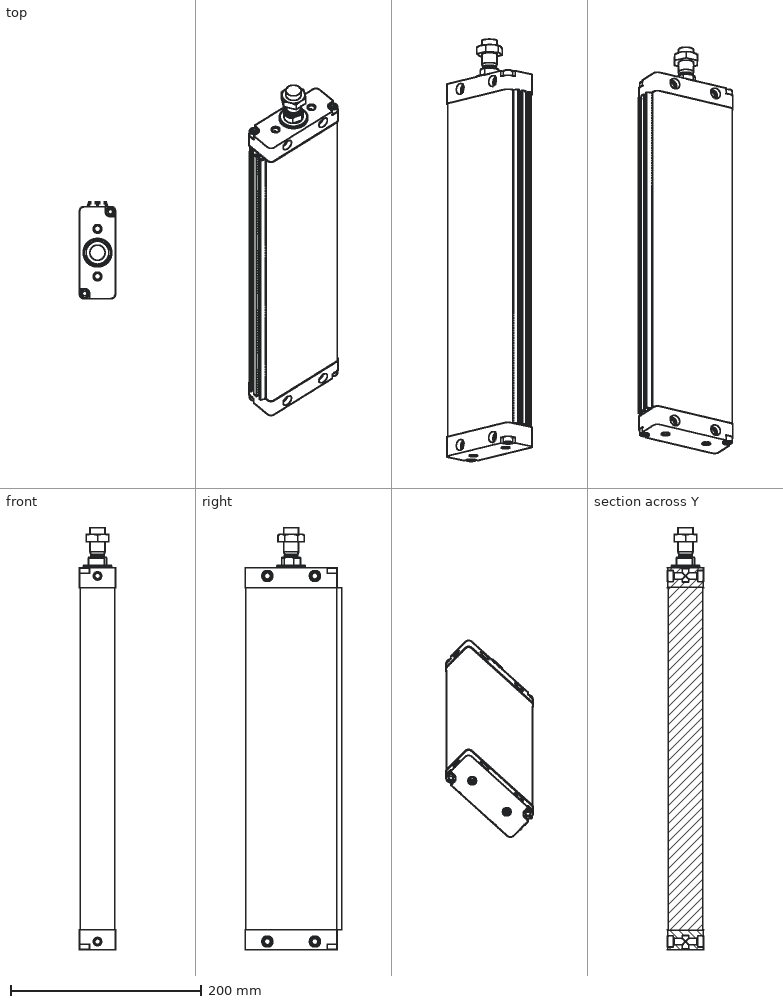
import cadquery as cq
import math

TOTAL_HEIGHT = 444.0
COVER_WIDTH = 38.0
COVER_DEPTH = 97.0
COVER_HEIGHT = 21.0
COVER_CORNER_RADIUS = 5.0
ROD_PROJECTION = 42.0
HOUSING_HEIGHT = TOTAL_HEIGHT - ROD_PROJECTION
TOP_COVER_BASE = HOUSING_HEIGHT - COVER_HEIGHT

BARREL_INSET = 0.75
BARREL_WIDTH = COVER_WIDTH - 2 * BARREL_INSET
BARREL_DEPTH = COVER_DEPTH - 2 * BARREL_INSET
BARREL_CORNER_RADIUS = COVER_CORNER_RADIUS - BARREL_INSET
BARREL_LENGTH = HOUSING_HEIGHT - 2 * COVER_HEIGHT

RAIL_TIP_Y = COVER_DEPTH / 2 + 5.0
RAIL_LIP_THICKNESS = 2.3
RAIL_ROOT_X = 11.0
RAIL_TIP_X = 9.0
RAIL_WALL_THICKNESS = 1.3
SLOT_OPENING_INNER_X = 2.2
SLOT_OPENING_OUTER_X = 7.0
CENTRE_STEM_WIDTH = 2.0

SCREW_EDGE_DISTANCE = 5.5
SCREW_X = COVER_WIDTH / 2 - SCREW_EDGE_DISTANCE
SCREW_Y = COVER_DEPTH / 2 - SCREW_EDGE_DISTANCE
SCREW_RECESS_RADIUS = 10.4 / 2
SCREW_RECESS_DEPTH = 6.0
SCREW_HEAD_DIAMETER = 10.0
SCREW_HEAD_CHAMFER = 0.6
SCREW_SOCKET_DIAMETER = 5.0
SCREW_SOCKET_DEPTH = 3.0
SCREW_SOCKET_TIP_HEIGHT = 1.5

HOLE_SPACING = 50.0
HOLE_INSET = 8.75
CROSS_HOLE_DIAMETER = 6.65
CROSS_COUNTERBORE_DIAMETER = 11.45
CROSS_COUNTERBORE_DEPTH = 6.0
CROSS_MOUTH_DIAMETER = 9.0
PORT_DIAMETER = 8.57
PORT_DEPTH = 10.0
PASSAGE_DIAMETER = 6.0
PASSAGE_DEPTH = 15.0
FACE_HOLE_DIAMETER = 6.65
FACE_HOLE_DEPTH = 15.0
FACE_HOLE_MOUTH_DIAMETER = 9.0
FACE_HOLE_MOUTH_ANGLE = 90.0

COLLAR_DIAMETER = 30.0
COLLAR_HEIGHT = 2.6
COLLAR_CHAMFER = 1.0

ROD_DIAMETER = 20.0
ROD_SHOULDER_HEIGHT = 11.0
ROD_SHOULDER_CHAMFER = 1.0
ROD_FLATS = 17.0
ROD_FLATS_ANGLE = -15.0
THREAD_DIAMETER = 16.0
RELIEF_DIAMETER = 13.9
RELIEF_FLOOR_LENGTH = 1.5
RELIEF_TAPER_LENGTH = 2.6
NECK_DIAMETER = 14.38
NECK_LENGTH = 1.4

NUT_FLATS = 24.0
NUT_HEIGHT = 8.0
NUT_TOP = TOTAL_HEIGHT - 6.85
NUT_CHAMFER_ANGLE = 30.0


def hexagon_diameter(flats):
    """Corner-to-corner diameter of a hexagon."""
    return flats / math.cos(math.pi / 6)


def rounded_block(width, depth, height, radius, base):
    block = cq.Workplane("XY").workplane(offset=base).rect(width, depth).extrude(height)
    return block.edges("|Z").fillet(radius)


def cylinder(diameter, height, base):
    return cq.Workplane("XY").workplane(offset=base).circle(diameter / 2).extrude(height)


def cone(bottom_diameter, top_diameter, height, base):
    return cq.Workplane(
        cq.Solid.makeCone(bottom_diameter / 2, top_diameter / 2, height, pnt=cq.Vector(0, 0, base))
    )


def screw_head():
    """Socket screw head on the Z axis: the top lies at Z = 0 and the seat below."""
    head = cylinder(SCREW_HEAD_DIAMETER, SCREW_RECESS_DEPTH, -SCREW_RECESS_DEPTH)
    head = head.faces(">Z").edges().chamfer(SCREW_HEAD_CHAMFER)
    socket = cylinder(SCREW_SOCKET_DIAMETER, SCREW_SOCKET_DEPTH, -SCREW_SOCKET_DEPTH)
    tip_base = -SCREW_SOCKET_DEPTH - SCREW_SOCKET_TIP_HEIGHT
    tip = cone(0, SCREW_SOCKET_DIAMETER, SCREW_SOCKET_TIP_HEIGHT, tip_base)
    return head.cut(socket).cut(tip)


def corner_recess():
    """Pocket around one screw head: a rounded inner corner, open to both side faces."""
    pocket_size = 4 * SCREW_RECESS_RADIUS
    inner_x = SCREW_X - SCREW_RECESS_RADIUS
    inner_y = SCREW_Y - SCREW_RECESS_RADIUS
    pocket = cq.Workplane("XY").box(pocket_size, pocket_size, SCREW_RECESS_DEPTH, centered=False)
    pocket = pocket.edges("|Z and <X and <Y").fillet(SCREW_RECESS_RADIUS)
    return pocket.translate((inner_x, inner_y, -SCREW_RECESS_DEPTH))


def mounting_hole():
    """Cutter along X: a through hole with a counterbore and a tapered mouth at each end."""
    seat = COVER_WIDTH / 2 - CROSS_COUNTERBORE_DEPTH
    mouth_depth = (CROSS_MOUTH_DIAMETER - CROSS_HOLE_DIAMETER) / 2
    cutter = cylinder(CROSS_HOLE_DIAMETER, COVER_WIDTH, -COVER_WIDTH / 2)
    mouth = cone(CROSS_HOLE_DIAMETER, CROSS_MOUTH_DIAMETER, mouth_depth, seat - mouth_depth)
    end = mouth.union(cylinder(CROSS_COUNTERBORE_DIAMETER, CROSS_COUNTERBORE_DEPTH, seat))
    cutter = cutter.union(end).union(end.mirror("XY"))
    return cutter.rotate((0, 0, 0), (0, 1, 0), 90)


def cover_blank():
    """Features shared by both covers; the outer face lies at Z = 0, the body below."""
    cover = rounded_block(COVER_WIDTH, COVER_DEPTH, COVER_HEIGHT, COVER_CORNER_RADIUS, -COVER_HEIGHT)

    recess = corner_recess()
    screw = screw_head().translate((SCREW_X, SCREW_Y, 0))
    for angle in (0, 180):
        cover = cover.cut(recess.rotate((0, 0, 0), (0, 0, 1), angle))
        cover = cover.union(screw.rotate((0, 0, 0), (0, 0, 1), angle))

    for y in (-HOLE_SPACING / 2, HOLE_SPACING / 2):
        cover = cover.cut(mounting_hole().translate((0, y, -HOLE_INSET)))

    port_face = cq.Workplane("XZ").workplane(offset=COVER_DEPTH / 2).center(0, -HOLE_INSET)
    port = port_face.circle(PORT_DIAMETER / 2).extrude(-PORT_DEPTH)
    passage = port_face.circle(PASSAGE_DIAMETER / 2).extrude(-PASSAGE_DEPTH)
    cover = cover.cut(port).cut(passage)

    return (
        cover.faces(">Z").workplane(origin=(0, 0, 0))
        .pushPoints([(0, HOLE_SPACING / 2), (0, -HOLE_SPACING / 2)])
        .cskHole(
            FACE_HOLE_DIAMETER, FACE_HOLE_MOUTH_DIAMETER, FACE_HOLE_MOUTH_ANGLE, FACE_HOLE_DEPTH
        )
    )


def make_top_cover():
    cover = cover_blank().translate((0, 0, HOUSING_HEIGHT))
    collar = cylinder(COLLAR_DIAMETER, COLLAR_HEIGHT, HOUSING_HEIGHT)
    collar = collar.faces(">Z").edges().chamfer(COLLAR_CHAMFER)
    rod_hole = cylinder(ROD_DIAMETER, COVER_HEIGHT + COLLAR_HEIGHT, TOP_COVER_BASE)
    return cover.union(collar).cut(rod_hole)


def make_bottom_cover():
    return cover_blank().mirror("XY")


def make_barrel():
    barrel = rounded_block(
        BARREL_WIDTH, BARREL_DEPTH, BARREL_LENGTH, BARREL_CORNER_RADIUS, COVER_HEIGHT
    )
    root_y = BARREL_DEPTH / 2
    lip_y = RAIL_TIP_Y - RAIL_LIP_THICKNESS
    plane = cq.Workplane("XY").workplane(offset=COVER_HEIGHT)
    outer_rail = (
        plane.moveTo(RAIL_ROOT_X, root_y)
        .lineTo(RAIL_TIP_X, RAIL_TIP_Y)
        .lineTo(SLOT_OPENING_OUTER_X, RAIL_TIP_Y)
        .lineTo(SLOT_OPENING_OUTER_X, lip_y)
        .lineTo(RAIL_TIP_X - RAIL_WALL_THICKNESS, lip_y)
        .lineTo(RAIL_ROOT_X - RAIL_WALL_THICKNESS, root_y)
        .close().extrude(BARREL_LENGTH)
    )
    stem = (
        plane.center(0, (root_y + RAIL_TIP_Y) / 2)
        .rect(CENTRE_STEM_WIDTH, RAIL_TIP_Y - root_y).extrude(BARREL_LENGTH)
    )
    head = (
        plane.center(0, (lip_y + RAIL_TIP_Y) / 2)
        .rect(2 * SLOT_OPENING_INNER_X, RAIL_LIP_THICKNESS).extrude(BARREL_LENGTH)
    )
    return barrel.union(outer_rail).union(outer_rail.mirror("YZ")).union(stem).union(head)


def make_rod():
    shoulder_z = HOUSING_HEIGHT + ROD_SHOULDER_HEIGHT
    rod = cylinder(ROD_DIAMETER, shoulder_z - TOP_COVER_BASE, TOP_COVER_BASE)
    rod = rod.faces(">Z").edges().chamfer(ROD_SHOULDER_CHAMFER)

    flats_base = HOUSING_HEIGHT + COLLAR_HEIGHT
    for side in (-1, 1):
        flat_cut = (
            cq.Workplane("XY").workplane(offset=flats_base)
            .center(side * (ROD_FLATS / 2 + ROD_DIAMETER / 2), 0)
            .rect(ROD_DIAMETER, 2 * ROD_DIAMETER).extrude(ROD_SHOULDER_HEIGHT)
            .rotate((0, 0, 0), (0, 0, 1), ROD_FLATS_ANGLE)
        )
        rod = rod.cut(flat_cut)

    floor_z = shoulder_z + NECK_LENGTH
    taper_z = floor_z + RELIEF_FLOOR_LENGTH
    thread_z = taper_z + RELIEF_TAPER_LENGTH
    neck = cylinder(NECK_DIAMETER, NECK_LENGTH, shoulder_z)
    floor = cylinder(RELIEF_DIAMETER, RELIEF_FLOOR_LENGTH, floor_z)
    taper = cone(RELIEF_DIAMETER, THREAD_DIAMETER, RELIEF_TAPER_LENGTH, taper_z)
    thread = cylinder(THREAD_DIAMETER, TOTAL_HEIGHT - thread_z, thread_z)
    return rod.union(neck).union(floor).union(taper).union(thread)


def make_nut():
    corner_diameter = hexagon_diameter(NUT_FLATS)
    base = NUT_TOP - NUT_HEIGHT
    prism = (
        cq.Workplane("XY").workplane(offset=base)
        .polygon(6, corner_diameter).extrude(NUT_HEIGHT)
        .rotate((0, 0, 0), (0, 0, 1), 90)
    )
    bevel_width = (corner_diameter - NUT_FLATS) / 2
    bevel_height = bevel_width * math.tan(math.radians(NUT_CHAMFER_ANGLE))
    envelope = cylinder(corner_diameter, NUT_HEIGHT, base)
    envelope = envelope.faces(">Z").edges().chamfer(bevel_height, bevel_width)
    return prism.intersect(envelope).cut(cylinder(THREAD_DIAMETER, NUT_HEIGHT, base))


top_cover = make_top_cover()
bottom_cover = make_bottom_cover()
barrel = make_barrel()
rod = make_rod()
nut = make_nut()

result = cq.Compound.makeCompound(
    [body.solids().val() for body in (top_cover, bottom_cover, barrel, rod, nut)]
)